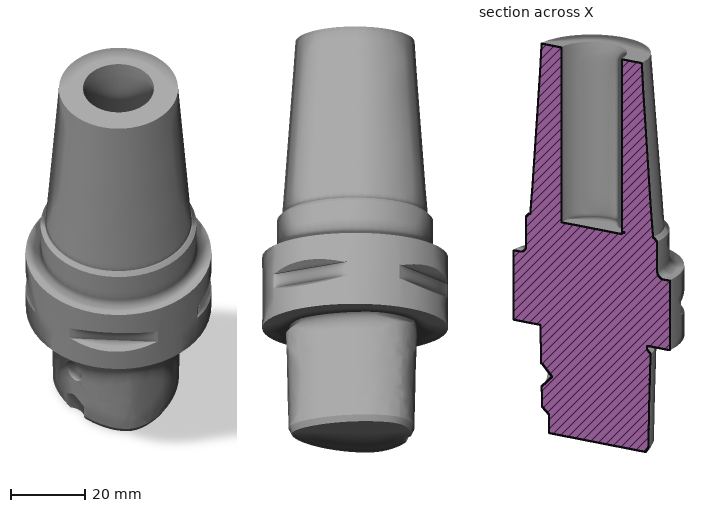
import cadquery as cq
import math

total_height = 110.0
flange_bottom = 30.1
flange_top = 49.9
collar_top = 61.2

flange_radius = 25.02
collar_radius = 21.0
collar_chamfer = 1.0
collar_fillet = 1.9
nose_bottom_radius = 19.7
nose_top_radius = 16.1
bore_radius = 9.6
bore_depth = 49.5

shank_radius = 17.6
lobe_height = 1.2
lobe_count = 3
lobe_angle = math.pi / 2
straight_bottom = 27.1
taper_slope = 1 / 40
shank_chamfer_height = 1.6
shank_chamfer_width = 0.9

neck_radius = 17.7
neck_bottom = 29.3
relief_margin = 4.4

slot_count = 4
slot_first_angle = 45.0
slot_middle = 39.9
slot_floor_height = 4.0
slot_floor_distance = 22.0
slot_step_depth = 0.4
slot_wall_angle = 30.0
slot_half_length = math.sqrt(flange_radius**2 - slot_floor_distance**2)

dimple_radius = 3.1
dimple_height = 16.2
dimple_rim_depth = 0.3
dimple_tip_angle = 90.0
notch_radius = 4.2
notch_axis_y = -17.8
notch_height = 5.3
notch_tip_angle = 100.0


def cone_depth(radius, tip_angle):
    """Height of a cone with the given base radius and full tip angle."""
    return radius / math.tan(math.radians(tip_angle / 2))


def lobed_point(t, mean_radius):
    """Point on the constant-width curve with support mean_radius + lobe_height * cos(n * a)."""
    angle = 2 * math.pi * t
    phase = lobe_count * (angle - lobe_angle)
    support = mean_radius + lobe_height * math.cos(phase)
    slope = -lobe_count * lobe_height * math.sin(phase)
    x = support * math.cos(angle) - slope * math.sin(angle)
    y = support * math.sin(angle) + slope * math.cos(angle)
    return x, y


def lobed_section(bottom, bottom_radius, top, top_radius):
    """Ruled solid between two lobed outlines."""
    return (
        cq.Workplane("XY", origin=(0, 0, bottom))
        .parametricCurve(lambda t: lobed_point(t, bottom_radius), N=72)
        .workplane(offset=top - bottom)
        .parametricCurve(lambda t: lobed_point(t, top_radius), N=72)
        .loft(ruled=True)
    )


def make_shank():
    taper_end_radius = shank_radius - taper_slope * (straight_bottom - shank_chamfer_height)
    end_radius = taper_end_radius - shank_chamfer_width
    chamfer = lobed_section(0, end_radius, shank_chamfer_height, taper_end_radius)
    taper = lobed_section(shank_chamfer_height, taper_end_radius, straight_bottom, shank_radius)
    straight = lobed_section(straight_bottom, shank_radius, flange_bottom, shank_radius)
    return chamfer.union(taper).union(straight).cut(make_lobe_relief())


def make_lobe_relief():
    """Ring that leaves a round neck, with a 45 degree shoulder below it."""
    outer_radius = neck_radius + relief_margin
    return (
        cq.Workplane("XZ")
        .moveTo(neck_radius, flange_bottom)
        .lineTo(neck_radius, neck_bottom)
        .lineTo(outer_radius, neck_bottom - relief_margin)
        .lineTo(outer_radius, flange_bottom)
        .close()
        .revolve()
    )


def make_turned_body():
    fillet_end_z = flange_top + collar_fillet
    fillet_radius_at_flange = collar_radius + collar_fillet
    diagonal = collar_fillet * (1 - math.sqrt(0.5))
    return (
        cq.Workplane("XZ")
        .moveTo(0, flange_bottom)
        .lineTo(flange_radius, flange_bottom)
        .lineTo(flange_radius, flange_top)
        .lineTo(fillet_radius_at_flange, flange_top)
        .threePointArc(
            (collar_radius + diagonal, flange_top + diagonal),
            (collar_radius, fillet_end_z),
        )
        .lineTo(collar_radius, collar_top - collar_chamfer)
        .lineTo(collar_radius - collar_chamfer, collar_top)
        .lineTo(nose_bottom_radius, collar_top)
        .lineTo(nose_top_radius, total_height)
        .lineTo(0, total_height)
        .close()
        .revolve()
    )


def make_bore():
    return (
        cq.Workplane("XY", origin=(0, 0, total_height - bore_depth))
        .circle(bore_radius)
        .extrude(bore_depth)
    )


def make_gripper_slot():
    """Flat-floored slot facing +X, with a short straight step below flared walls."""
    step_distance = slot_floor_distance + slot_step_depth
    depth = flange_radius - step_distance
    floor_half = slot_floor_height / 2
    mouth_half = floor_half + depth * math.tan(math.radians(slot_wall_angle))
    return (
        cq.Workplane("XZ")
        .polyline([
            (slot_floor_distance, slot_middle - floor_half),
            (step_distance, slot_middle - floor_half),
            (flange_radius, slot_middle - mouth_half),
            (flange_radius, slot_middle + mouth_half),
            (step_distance, slot_middle + floor_half),
            (slot_floor_distance, slot_middle + floor_half),
        ])
        .close()
        .extrude(slot_half_length, both=True)
    )


def make_dimple():
    """Conical dimple with a shallow straight rim on the -Y face of the tapered shank."""
    face_radius = shank_radius - taper_slope * (straight_bottom - dimple_height)
    rim_y = lobe_height - face_radius + dimple_rim_depth
    tip_y = rim_y + cone_depth(dimple_radius, dimple_tip_angle)
    return (
        cq.Workplane("XY")
        .polyline([(0, -flange_radius), (dimple_radius, -flange_radius), (dimple_radius, rim_y), (0, tip_y)])
        .close()
        .revolve()
        .translate((0, 0, dimple_height))
    )


def make_notch():
    """Upward drilled notch with a pointed end, open on the -Y face."""
    tip_height = notch_height + cone_depth(notch_radius, notch_tip_angle)
    return (
        cq.Workplane("XZ")
        .polyline([(0, 0), (notch_radius, 0), (notch_radius, notch_height), (0, tip_height)])
        .close()
        .revolve()
        .translate((0, notch_axis_y, 0))
    )


result = make_turned_body().union(make_shank()).cut(make_bore())
slot = make_gripper_slot()
for index in range(slot_count):
    slot_angle = slot_first_angle + index * 360 / slot_count
    result = result.cut(slot.rotate((0, 0, 0), (0, 0, 1), slot_angle))
result = result.cut(make_dimple()).cut(make_notch())